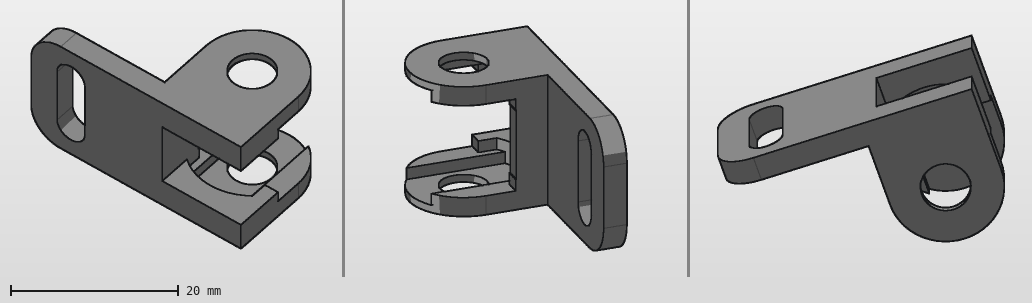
import cadquery as cq

length = 32.0
height = 17.0
plate_thickness = 3.0
corner_radius = 4.48

lug_width = 14.0
lug_radius = lug_width / 2
lug_thickness = 4.0
lug_reach = 18.0
pin_diameter = 6.0
pin_x = length - lug_radius
pin_y = lug_reach - lug_radius

opening_start = 20.0
web_depth = 7.0

shoulder_depth = 7.1
outer_floor = 2.5
recess_half_width = pin_x - opening_start
recess_radius = 8.0
channel_width = 8.0
channel_floor = 1.0

slot_x = 6.08
slot_width = 4.22
slot_length = 12.22


def block(x_range, y_range, z_range):
    """Box spanning the given (start, end) pairs."""
    size = [end - start for start, end in (x_range, y_range, z_range)]
    return (
        cq.Workplane("XY")
        .box(*size, centered=False)
        .translate((x_range[0], y_range[0], z_range[0]))
    )


def round_ended_recess(half_width, floor):
    """Recess open at +Y, ending in an arc about the pin axis, between both lug floors."""
    depth = height - 2 * floor
    x_range = (pin_x - half_width, pin_x + half_width)
    z_range = (floor, height - floor)
    strip = block(x_range, (0, lug_reach), z_range)
    disc = cq.Workplane("XY", origin=(pin_x, pin_y, floor)).circle(recess_radius).extrude(depth)
    return strip.intersect(disc)


plate = block((0, length), (0, plate_thickness), (0, height))
plate = plate.edges("|Y and <X").fillet(corner_radius)

lug_body = (
    cq.Workplane("XY")
    .moveTo(length - lug_width, 0)
    .lineTo(length - lug_width, pin_y)
    .threePointArc((pin_x, lug_reach), (length, pin_y))
    .lineTo(length, 0)
    .close()
    .extrude(height)
)
bracket = plate.union(lug_body)

opening_z = (lug_thickness, height - lug_thickness)
bracket = bracket.cut(block((opening_start, length), (0, lug_reach), opening_z))
bracket = bracket.cut(block((0, length), (web_depth, lug_reach), opening_z))

outer_z = (outer_floor, height - outer_floor)
bracket = bracket.cut(block((0, length), (shoulder_depth, lug_reach), outer_z))
bracket = bracket.cut(round_ended_recess(recess_half_width, outer_floor))
bracket = bracket.cut(round_ended_recess(channel_width / 2, channel_floor))

pin_hole = cq.Workplane("XY", origin=(pin_x, pin_y, 0)).circle(pin_diameter / 2).extrude(height)
bracket = bracket.cut(pin_hole)

slot = (
    cq.Workplane("XZ", origin=(slot_x, 0, height / 2))
    .slot2D(slot_length, slot_width, 90)
    .extrude(-plate_thickness)
)
result = bracket.cut(slot)